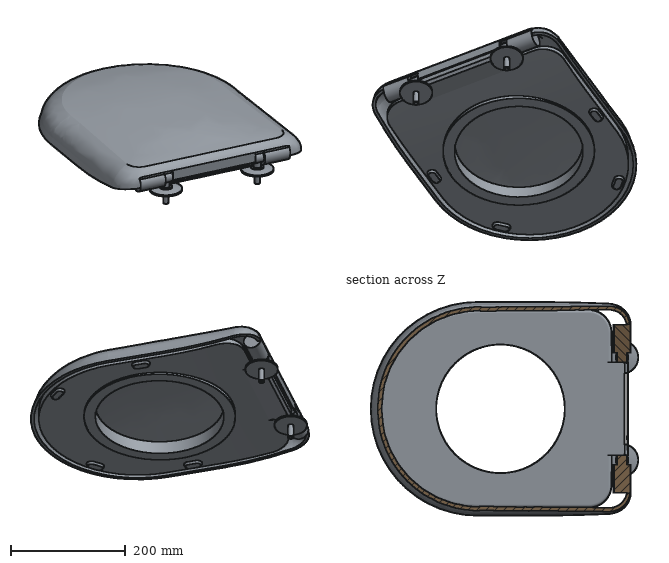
import cadquery as cq
import math


LENGTH = 467
WIDTH = 373.0

HALF_WIDTH = WIDTH / 2
LID_BACK = 454.5
CORNER_RADIUS = 39.5
BEND_X = 221.8
LID_TOP = 60.0
CREASE_Z = 46.0
CREASE_INSET = 40.0
REAR_SIDE_RATIO = 0.86
REAR_RATIO = 0.48
CORNER_RATIO = 0.4
BAND_Z = 11.5
BAND_INSET = 3.7
SHOULDER_END_ANGLE = 68
SHOULDER_STEPS = 4
CREASE_TILT = 0.35
SHOULDER_LEAN = 12.0
LEAN_RATIO_BACK = 0.8
WALL = 5.5
CROWN_APEX_X = 257
CROWN_LONG_RADIUS = 1942
CROWN_CROSS_RADIUS = 910.5
CROWN_GUIDE_X = (116.5, 210, 303.5, 383)
CROWN_GUIDE_Y = 79.5
BACK_FACE_X = 449.0
RISE_X = 289.5
RISE_RADIUS = 770.5
MARGIN = 23.5

AXIS_Z = 20.5
BARREL_RADIUS = 15.5
BARREL_START = 97.5
BARREL_END = 146.5
KNUCKLE_RADIUS = 10.5
KNUCKLE_START = 80.8
FLANGE_BOTTOM = -4.45
FLANGE_RADIUS = 28.5
HINGE_X = LENGTH - FLANGE_RADIUS
HINGE_Y = 89.5
FLANGE_RIM_Z = -1.5
FLANGE_DOME_RADIUS = 22.0
FLANGE_DOME_Z = 0
COLLAR_RADIUS = 11.0
COLLAR_BOTTOM = 1.0
COLLAR_TOP = 2.5
POST_RADIUS = 6.5
PIN_DIAMETER = 10.0
PIN_BOTTOM = -30.5
PIN_CHAMFER = 1.5

SEAT_INSET = 14.0
SEAT_BACK = 420
SEAT_TOP = 21.0
SEAT_EDGE_FILLET = 5.5
WEB_FRONT = 401.5
WEB_FRONT_Z = 8.5
WEB_BACK = 443.0
WEB_BACK_Z = 10.5
RIM_X = 226.5
RIM_RADIUS = 132.0
OPENING_RADIUS = 112
RIM_FRONT_Z = -3.05
RIM_BACK_Z = -4.45
BUFFER_RING = 160.0
BUFFER_LENGTH = 32.5
BUFFER_WIDTH = 17.7
BUFFER_TAPER = 30
BUFFER_BOTTOM = -4.45
FRONT_BUFFER_ANGLE = 46
SIDE_BUFFER_X = 240.0


def d_outline(z, side, rear_side, back, corner, nose):
    """Closed wire with a round nose, sides that bend once, and rounded back corners."""
    start_x = HALF_WIDTH
    slant = math.sqrt(0.5)
    arc_y = side * slant
    arc_x = start_x - (start_x - nose) * slant
    diagonal = corner * (1 - slant)
    return (
        cq.Workplane("XY", origin=(0, 0, z))
        .moveTo(nose, 0)
        .threePointArc((arc_x, -arc_y), (start_x, -side))
        .lineTo(BEND_X, -side)
        .lineTo(back - corner, -rear_side)
        .threePointArc((back - diagonal, -rear_side + diagonal), (back, -rear_side + corner))
        .lineTo(back, rear_side - corner)
        .threePointArc((back - diagonal, rear_side - diagonal), (back - corner, rear_side))
        .lineTo(BEND_X, side)
        .lineTo(start_x, side)
        .threePointArc((arc_x, arc_y), (nose, 0))
        .close()
        .val()
    )


def lid_section(z, inset, wall, lean=0):
    """Lid outline at one height, drawn in by the shoulder inset and by a wall thickness.

    The lean moves the nose and the back edge backwards.
    """
    return d_outline(
        z,
        side=HALF_WIDTH - inset - wall,
        rear_side=HALF_WIDTH - inset * REAR_SIDE_RATIO - wall,
        back=LID_BACK - inset * REAR_RATIO + lean * LEAN_RATIO_BACK - wall,
        corner=CORNER_RADIUS - inset * CORNER_RATIO - wall,
        nose=inset + lean + wall,
    )


def crown_z(x, y, top):
    """Height of the crowned top, which falls away from its apex along X and Y."""
    along = (x - CROWN_APEX_X) ** 2 / (2 * CROWN_LONG_RADIUS)
    across = y ** 2 / (2 * CROWN_CROSS_RADIUS)
    return top - along - across


def crown_dome(rim, top):
    """Smooth face over the rim edges, passing through points of the crowned top."""
    places = []
    for x in CROWN_GUIDE_X:
        places += [(x, 0), (x, -CROWN_GUIDE_Y), (x, CROWN_GUIDE_Y)]
    points = [cq.Vector(x, y, crown_z(x, y, top)) for x, y in places]
    return cq.Face.makeNSidedSurface(rim, points)


def lid_envelope(wall):
    """Solid lid shape, drawn in on all sides and on top by a wall thickness."""
    band = cq.Solid.makeLoft([lid_section(0, 0, wall), lid_section(BAND_Z, BAND_INSET, wall)], True)
    last = math.radians(SHOULDER_END_ANGLE)
    sections = []
    for step in range(SHOULDER_STEPS + 1):
        turn = last * step / SHOULDER_STEPS
        lift = math.sin(turn) / math.sin(last)
        draw_in = (1 - math.cos(turn)) / (1 - math.cos(last))
        z = BAND_Z + (CREASE_Z - wall - BAND_Z) * lift
        inset = BAND_INSET + (CREASE_INSET - BAND_INSET) * draw_in
        section = lid_section(z, inset, wall, SHOULDER_LEAN * lift * (1 - lift))
        sections.append(section.rotate((BEND_X, 0, z), (BEND_X, 1, z), -CREASE_TILT * lift))
    shoulder = cq.Solid.makeLoft(sections, False)
    rim = cq.Workplane(shoulder).faces(">Z").val().Edges()
    skin = [crown_dome(rim, LID_TOP - wall)]
    skin += cq.Workplane(band).faces("not >Z").vals()
    skin += cq.Workplane(shoulder).faces("not (<Z or >Z)").vals()
    return cq.Workplane(cq.Solid.makeSolid(cq.Shell.makeShell(skin)))


def underside_cut():
    """Material below the lower edge: flat at the front, curving up behind RISE_X."""
    end_x = LID_BACK + MARGIN
    run = end_x - RISE_X

    def rise(distance):
        return RISE_RADIUS - math.sqrt(RISE_RADIUS ** 2 - distance ** 2)

    return (
        cq.Workplane("XZ")
        .moveTo(RISE_X, 0)
        .threePointArc((RISE_X + run / 2, rise(run / 2)), (end_x, rise(run)))
        .lineTo(end_x, -MARGIN)
        .lineTo(RISE_X, -MARGIN)
        .close()
        .extrude(HALF_WIDTH + MARGIN, both=True)
    )


def make_lid():
    lid = lid_envelope(0).cut(lid_envelope(WALL)).cut(underside_cut())
    recess_depth = LID_BACK + MARGIN - BACK_FACE_X
    recess = cq.Workplane("XY").box(recess_depth, 2 * BARREL_END, LID_TOP, centered=(False, True, False))
    lid = lid.cut(recess.translate((BACK_FACE_X, 0, 0)))
    for side in (-1, 1):
        lid = lid.cut(barrel_room(side))
    return lid


def y_cylinder(radius, start, end, side):
    """Cylinder on the hinge axis between two distances from the middle, on one side."""
    direction = cq.Vector(0, side, 0)
    base = cq.Vector(HINGE_X, side * start, AXIS_Z)
    return cq.Workplane(cq.Solid.makeCylinder(radius, end - start, base, direction))


def barrel_room(side):
    """Pocket in the lid's back wall that is open downwards and holds one hinge."""
    length = BARREL_END - KNUCKLE_START
    middle = side * (KNUCKLE_START + BARREL_END) / 2
    slot = (
        cq.Workplane("XY")
        .box(2 * BARREL_RADIUS, length, AXIS_Z, centered=(True, True, False))
        .translate((HINGE_X, middle, 0))
    )
    return y_cylinder(BARREL_RADIUS, KNUCKLE_START, BARREL_END, side).union(slot)


def make_hinge(side):
    """Barrel, narrower knuckle, and a post that widens into a round mounting flange."""
    foot = (
        cq.Workplane("XZ")
        .moveTo(0, FLANGE_BOTTOM)
        .lineTo(FLANGE_RADIUS, FLANGE_BOTTOM)
        .lineTo(FLANGE_RADIUS, FLANGE_RIM_Z)
        .threePointArc((FLANGE_DOME_RADIUS, FLANGE_DOME_Z), (COLLAR_RADIUS, COLLAR_BOTTOM))
        .lineTo(COLLAR_RADIUS, COLLAR_TOP)
        .lineTo(POST_RADIUS, COLLAR_TOP)
        .lineTo(POST_RADIUS, AXIS_Z)
        .lineTo(0, AXIS_Z)
        .close()
        .revolve()
        .translate((HINGE_X, side * HINGE_Y, 0))
    )
    knuckle = y_cylinder(KNUCKLE_RADIUS, KNUCKLE_START, BARREL_START, side)
    barrel = y_cylinder(BARREL_RADIUS, BARREL_START, BARREL_END, side)
    return knuckle.union(barrel).union(foot)


def make_pin(side):
    return (
        cq.Workplane("XY", origin=(HINGE_X, side * HINGE_Y, PIN_BOTTOM))
        .circle(PIN_DIAMETER / 2)
        .extrude(FLANGE_BOTTOM - PIN_BOTTOM)
        .faces("<Z")
        .chamfer(PIN_CHAMFER)
    )


def seat_rim():
    """Disc around the opening, with a sloping underside."""
    front = RIM_X - RIM_RADIUS
    back = RIM_X + RIM_RADIUS
    wedge = (
        cq.Workplane("XZ")
        .polyline([(front, RIM_FRONT_Z), (back, RIM_BACK_Z), (back, SEAT_TOP), (front, SEAT_TOP)])
        .close()
        .extrude(RIM_RADIUS, both=True)
    )
    disc = cq.Workplane("XY", origin=(RIM_X, 0, -MARGIN)).circle(RIM_RADIUS).extrude(SEAT_TOP + MARGIN)
    return wedge.intersect(disc)


def hinge_web():
    """Tongue at the back of the seat that sits between the two hinge knuckles."""
    bottom = AXIS_Z - BARREL_RADIUS
    return (
        cq.Workplane("XZ")
        .moveTo(WEB_FRONT, SEAT_TOP)
        .lineTo(WEB_FRONT, WEB_FRONT_Z)
        .lineTo(HINGE_X, bottom)
        .lineTo(WEB_BACK, WEB_BACK_Z)
        .lineTo(WEB_BACK, SEAT_TOP)
        .close()
        .extrude(KNUCKLE_START, both=True)
    )


def make_seat():
    half_width = HALF_WIDTH - SEAT_INSET
    outline = d_outline(0, half_width, half_width, SEAT_BACK, CORNER_RADIUS, SEAT_INSET)
    plate = cq.Workplane(cq.Face.makeFromWires(outline)).wires().toPending().extrude(SEAT_TOP)
    plate = plate.faces(">Z").edges().fillet(SEAT_EDGE_FILLET).cut(underside_cut())
    seat = plate.union(seat_rim()).union(hinge_web())
    opening_height = SEAT_TOP + 2 * MARGIN
    opening = cq.Workplane("XY", origin=(RIM_X, 0, -MARGIN)).circle(OPENING_RADIUS).extrude(opening_height)
    return seat.cut(opening)


def make_buffer(x, y, angle):
    """Oblong pad under the seat that narrows downwards."""
    return (
        cq.Workplane("XY")
        .slot2D(BUFFER_LENGTH, BUFFER_WIDTH)
        .extrude(BUFFER_BOTTOM, taper=BUFFER_TAPER)
        .rotate((0, 0, 0), (0, 0, 1), angle)
        .translate((x, y, 0))
    )


lid = make_lid()
seat = make_seat()
hinges = []
pins = []
buffers = []
front_turn = math.radians(FRONT_BUFFER_ANGLE)
front_x = HALF_WIDTH - BUFFER_RING * math.cos(front_turn)
front_y = BUFFER_RING * math.sin(front_turn)
for side in (-1, 1):
    hinges.append(make_hinge(side).val())
    pins.append(make_pin(side).val())
    buffers.append(make_buffer(front_x, side * front_y, side * (90 - FRONT_BUFFER_ANGLE)).val())
    buffers.append(make_buffer(SIDE_BUFFER_X, side * BUFFER_RING, 0).val())

result = cq.Compound.makeCompound([lid.val(), seat.val(), *buffers, *hinges, *pins])